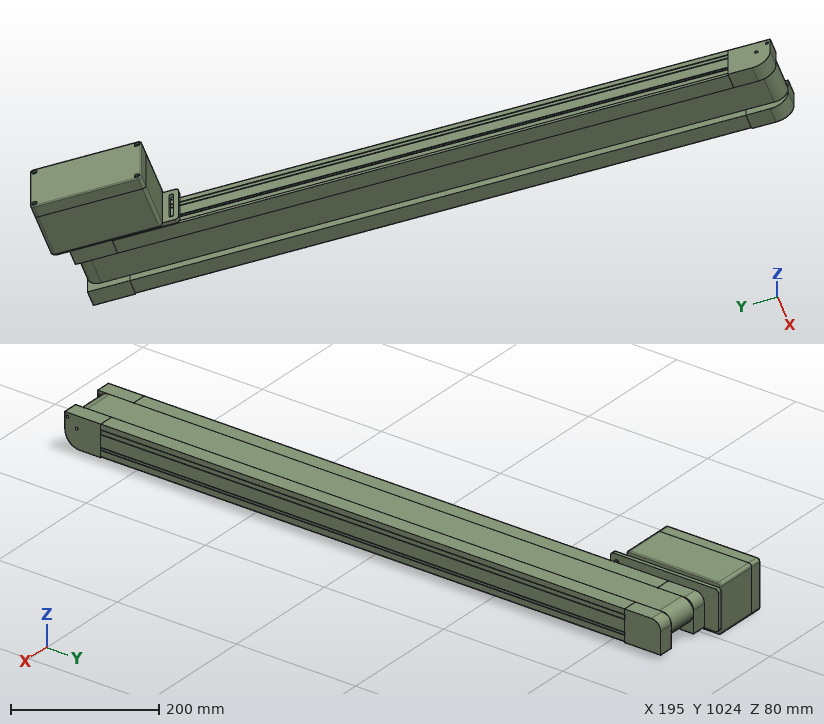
import cadquery as cq


belt_width = 50.0
belt_height = 40.0
belt_radius = belt_height / 2
front_y = -512.0
conveyor_length = 1000.0
rear_y = front_y + conveyor_length

frame_width = 25.0
frame_top = belt_radius
frame_bottom = -32.0
block_length = 60.0
front_block_radius = 26.0
rear_block_radius = 15.0
frame_side = belt_width / 2 + frame_width
frame_height = frame_top - frame_bottom
rail_length = conveyor_length - 2 * block_length
rail_mid_y = front_y + conveyor_length / 2

groove_depth = 1.0
upper_groove_width = 7.0
upper_groove_z = 7.0
lower_groove_width = 4.0
lower_groove_z = -18.0
rail_chamfer = 2.0

block_hole_diameter = 4.2
adjuster_offset_y = 15.0
adjuster_offset_z = 13.0

box_rear_y = 512.0
box_length = 159.0
box_height = 80.0
overall_width = 195.0
corner_radius = 5.0
end_edge_radius = 1.7
lid_thickness = 19.0
screw_hole_diameter = 7.5
screw_hole_depth = 3.0
screw_hole_inset = 6.0
plate_thickness = 6.0
plate_length = 181.0
plate_height = 66.0
slot_length = 48.0
slot_width = 6.0
slot_inset = 10.0
lid_x = frame_side - overall_width
box_x = lid_x + lid_thickness
plate_x = -frame_side - plate_thickness
box_mid_y = box_rear_y - box_length / 2


def make_belt():
    """Belt loop with its pulleys: a flat run with a half-round at each end."""
    return (
        cq.Workplane("YZ", origin=(-belt_width / 2, rail_mid_y, 0))
        .slot2D(conveyor_length, belt_height)
        .extrude(belt_width)
    )


def frame_box(side, length, mid_y):
    """Plain bar in the frame on one side (-1 = left, +1 = right)."""
    mid_x = side * (belt_width + frame_width) / 2
    mid_z = (frame_top + frame_bottom) / 2
    return cq.Workplane("XY", origin=(mid_x, mid_y, mid_z)).box(frame_width, length, frame_height)


def make_rail(side):
    """Rail with two shallow grooves and a chamfer along its outer face."""
    rail = frame_box(side, rail_length, rail_mid_y)
    outer_face = "<X" if side < 0 else ">X"
    rail = rail.faces(outer_face).edges("<Z").chamfer(rail_chamfer)
    for width, z in ((upper_groove_width, upper_groove_z), (lower_groove_width, lower_groove_z)):
        groove = cq.Workplane("XY", origin=(side * frame_side, rail_mid_y, z)).box(
            2 * groove_depth, rail_length, width
        )
        rail = rail.cut(groove)
    return rail


def make_front_block(side):
    """Front bearing block: rounded lower nose, axle hole and adjuster hole."""
    block = frame_box(side, block_length, front_y + block_length / 2)
    block = block.faces("<Y").edges("<Z").fillet(front_block_radius)
    axle_y = front_y + belt_radius
    holes = (
        cq.Workplane("YZ", origin=(-frame_side, axle_y, 0))
        .pushPoints([(0, 0), (-adjuster_offset_y, adjuster_offset_z)])
        .circle(block_hole_diameter / 2)
        .extrude(2 * frame_side)
    )
    return block.cut(holes)


def make_rear_block(side):
    """Rear bearing block with a rounded upper corner."""
    block = frame_box(side, block_length, rear_y - block_length / 2)
    return block.faces(">Y").edges(">Z").fillet(rear_block_radius)


def box_section(x, thickness):
    """Length of the drive box section, with rounded long edges."""
    return (
        cq.Workplane("YZ", origin=(x, box_mid_y, 0))
        .rect(box_length, box_height)
        .extrude(thickness)
        .edges("|X")
        .fillet(corner_radius)
    )


def make_drive_box():
    """Drive box with an eased edge next to the mounting plate."""
    return box_section(box_x, plate_x - box_x).faces(">X").edges().fillet(end_edge_radius)


def make_lid():
    """Lid on the outer end of the drive box, with a screw hole in each corner."""
    lid = box_section(lid_x, lid_thickness).faces("<X").edges().fillet(end_edge_radius)
    holes = (
        cq.Workplane("YZ", origin=(lid_x, box_mid_y, 0))
        .rect(box_length - 2 * screw_hole_inset, box_height - 2 * screw_hole_inset, forConstruction=True)
        .vertices()
        .circle(screw_hole_diameter / 2)
        .extrude(screw_hole_depth)
    )
    return lid.cut(holes)


def make_plate():
    """Mounting plate between box and frame, with an upright slot at its front end."""
    plate_front_y = box_rear_y - plate_length
    plate = (
        cq.Workplane("YZ", origin=(plate_x, plate_front_y + plate_length / 2, 0))
        .rect(plate_length, plate_height)
        .extrude(plate_thickness)
        .edges("|X")
        .fillet(corner_radius)
    )
    slot = (
        cq.Workplane("YZ", origin=(plate_x, plate_front_y + slot_inset, 0))
        .slot2D(slot_length, slot_width, 90)
        .extrude(plate_thickness)
    )
    return plate.cut(slot)


bodies = [make_belt(), make_drive_box(), make_lid(), make_plate()]
for side in (-1, 1):
    bodies += [make_rail(side), make_front_block(side), make_rear_block(side)]

result = cq.Compound.makeCompound([body.val() for body in bodies])